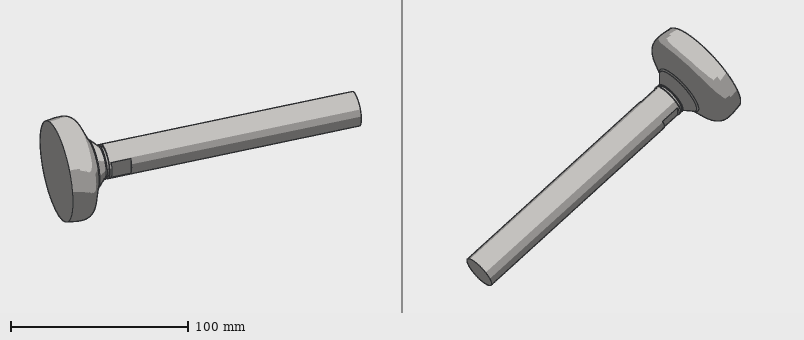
import cadquery as cq
import math


total_length = 178.0
base_radius = 30.0
stem_radius = 10.0

bottom_radius = 29.2
rim_taper_height = 6.0
rim_top_height = 9.2
shoulder_radius = 6.9
slope_angle = math.radians(24)
joint_height = 20.9

collar_bottom_height = 26.3
collar_top_height = 26.9
groove_top_height = 28.4
collar_radius = stem_radius
flare_top_radius = 9.5
groove_radius = 8.9
joint_radius = flare_top_radius + collar_bottom_height - joint_height

flat_width = 17.0
flat_bottom_height = 29.7
flat_length = 11.7


def make_base():
    """Base disc with tapered rim, rounded shoulder and two-stage cone on top."""
    def on_shoulder(angle):
        radius = base_radius - shoulder_radius * (1 - math.cos(angle))
        height = rim_top_height + shoulder_radius * math.sin(angle)
        return radius, height

    shoulder_sweep = math.pi / 2 - slope_angle
    slope_start_radius, slope_start_height = on_shoulder(shoulder_sweep)

    slope = math.tan(slope_angle)
    steep_line_sum = joint_radius + joint_height
    slope_end_radius = (
        steep_line_sum - slope_start_height - slope * slope_start_radius
    ) / (1 - slope)
    slope_end_height = steep_line_sum - slope_end_radius

    return (
        cq.Workplane("XY")
        .moveTo(0, 0)
        .lineTo(bottom_radius, 0)
        .lineTo(base_radius, rim_taper_height)
        .lineTo(base_radius, rim_top_height)
        .threePointArc(on_shoulder(shoulder_sweep / 2), (slope_start_radius, slope_start_height))
        .lineTo(slope_end_radius, slope_end_height)
        .lineTo(joint_radius, joint_height)
        .lineTo(0, joint_height)
        .close()
        .revolve(360, (0, 0, 0), (0, 1, 0))
    )


def make_wrench_flat_cutters():
    """Two blocks that leave the flats facing -X and +X."""
    depth = stem_radius
    offset = (flat_width + depth) / 2
    return (
        cq.Workplane("XY")
        .pushPoints([(-offset, 0), (offset, 0)])
        .box(depth, flat_length, 2 * stem_radius)
        .translate((0, flat_bottom_height + flat_length / 2, 0))
    )


def make_spindle():
    """Round stem with a groove, collar and flare at its foot and two wrench flats."""
    turned = (
        cq.Workplane("XY")
        .moveTo(0, joint_height)
        .lineTo(joint_radius, joint_height)
        .lineTo(flare_top_radius, collar_bottom_height)
        .lineTo(collar_radius, collar_top_height)
        .lineTo(groove_radius, collar_top_height)
        .lineTo(groove_radius, groove_top_height)
        .lineTo(stem_radius, groove_top_height)
        .lineTo(stem_radius, total_length)
        .lineTo(0, total_length)
        .close()
        .revolve(360, (0, 0, 0), (0, 1, 0))
    )
    return turned.cut(make_wrench_flat_cutters())


base = make_base()
spindle = make_spindle()

result = cq.Compound.makeCompound([base.val(), spindle.val()])